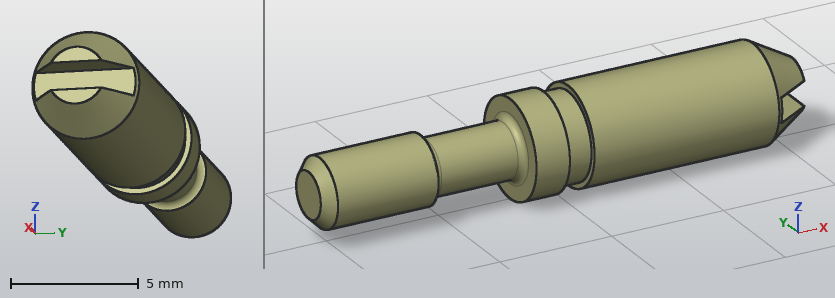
import cadquery as cq

total_length = 21.6
stud_end = 5.0
collar_start = 9.0
collar_width = 1.5
groove_width = 1.1
nose_length = 1.75

body_diameter = 4.3
stud_diameter = 3.0
neck_diameter = 2.4
groove_diameter = 3.8
nose_tip_diameter = 2.3

stud_chamfer = 0.5
neck_fillet = 0.3

slot_width = 1.1
slot_depth = 1.55

groove_start = collar_start + collar_width
body_start = groove_start + groove_width
nose_start = total_length - nose_length


def cylinder(start, end, diameter):
    """Solid cylinder on the X axis between two stations."""
    return cq.Workplane("YZ", origin=(start, 0, 0)).circle(diameter / 2).extrude(end - start)


def make_neck():
    """Waisted neck whose ends flare out with concave quarter-round fillets."""
    neck_radius = neck_diameter / 2
    flare_radius = neck_radius + neck_fillet
    return (
        cq.Workplane("XY")
        .moveTo(stud_end, 0)
        .lineTo(stud_end, flare_radius)
        .radiusArc((stud_end + neck_fillet, neck_radius), -neck_fillet)
        .lineTo(collar_start - neck_fillet, neck_radius)
        .radiusArc((collar_start, flare_radius), -neck_fillet)
        .lineTo(collar_start, 0)
        .close()
        .revolve(360, (0, 0, 0), (1, 0, 0))
    )


def make_nose():
    """Tapered nose narrowing to a flat tip."""
    return (
        cq.Workplane("YZ", origin=(nose_start, 0, 0))
        .circle(body_diameter / 2)
        .workplane(offset=nose_length)
        .circle(nose_tip_diameter / 2)
        .loft()
    )


stud = cylinder(0, stud_end, stud_diameter).faces("<X").chamfer(stud_chamfer)
collar = cylinder(collar_start, groove_start, body_diameter)
groove_core = cylinder(groove_start, body_start, groove_diameter)
body = cylinder(body_start, nose_start, body_diameter)

slot = cq.Workplane("XY").box(slot_depth, body_diameter, slot_width).translate(
    (total_length - slot_depth / 2, 0, 0)
)

result = (
    stud.union(make_neck())
    .union(collar)
    .union(groove_core)
    .union(body)
    .union(make_nose())
    .cut(slot)
)